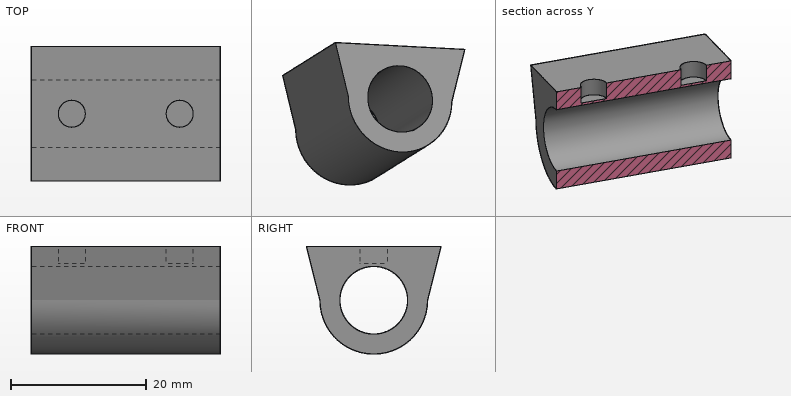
import cadquery as cq

length = 28.0
top_width = 20.0
height = 16.0
bore_diameter = 10.0
screw_hole_diameter = 4.0
screw_hole_spacing = 16.0
screw_hole_depth = 2.55

outer_radius = height / 2
top_z = height - outer_radius


def make_body():
    """Block with tapered flanks that end on a half-round underside."""
    return (
        cq.Workplane("YZ")
        .moveTo(-top_width / 2, top_z)
        .lineTo(-outer_radius, 0)
        .threePointArc((0, -outer_radius), (outer_radius, 0))
        .lineTo(top_width / 2, top_z)
        .close()
        .extrude(length / 2, both=True)
    )


def make_bore():
    """Round passage through the full length."""
    return cq.Workplane("YZ").circle(bore_diameter / 2).extrude(length / 2, both=True)


def make_screw_holes():
    """Two flat-bottomed blind holes in the top face, stopping just above the bore."""
    return (
        cq.Workplane("XY", origin=(0, 0, top_z))
        .pushPoints([(side * screw_hole_spacing / 2, 0) for side in (-1, 1)])
        .circle(screw_hole_diameter / 2)
        .extrude(-screw_hole_depth)
    )


result = make_body().cut(make_bore()).cut(make_screw_holes())